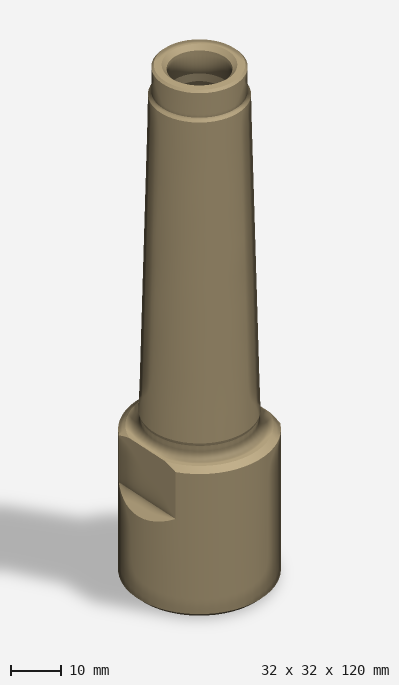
import cadquery as cq
import math

length = 120.0

collar_radius = 32.0 / 2
collar_top = 35.0
collar_bottom_chamfer = 1.1
collar_top_chamfer_width = 1.5
collar_top_chamfer_height = 1.0
flat_distance = 27.0 / 2
flat_bottom = 23.0

neck_radius = 23.5 / 2
neck_fillet = 1.5
neck_top = 37.9

taper_bottom = 38.6
taper_bottom_radius = 24.0 / 2
taper_top = 113.0
taper_top_radius = 20.3 / 2

end_radius = 19.0 / 2
end_bottom = 113.8
end_chamfer = 0.5

bore_radius = 10.1 / 2
counterbore_radius = 13.0 / 2
counterbore_depth = 6.4
drill_point_angle = 118.0
mouth_radius = 7.5
mouth_chamfer = mouth_radius - counterbore_radius


def turned_body():
    arc_offset = neck_fillet * (1 - math.sqrt(0.5))
    return (
        cq.Workplane("XZ")
        .moveTo(0, 0)
        .lineTo(collar_radius - collar_bottom_chamfer, 0)
        .lineTo(collar_radius, collar_bottom_chamfer)
        .lineTo(collar_radius, collar_top - collar_top_chamfer_height)
        .lineTo(collar_radius - collar_top_chamfer_width, collar_top)
        .lineTo(neck_radius + neck_fillet, collar_top)
        .threePointArc(
            (neck_radius + arc_offset, collar_top + arc_offset),
            (neck_radius, collar_top + neck_fillet),
        )
        .lineTo(neck_radius, neck_top)
        .lineTo(taper_bottom_radius, taper_bottom)
        .lineTo(taper_top_radius, taper_top)
        .lineTo(end_radius, end_bottom)
        .lineTo(end_radius, length - end_chamfer)
        .lineTo(end_radius - end_chamfer, length)
        .lineTo(0, length)
        .close()
        .revolve(360, (0, 0), (0, 1))
    )


def bore():
    counterbore_floor = length - counterbore_depth
    cone_height = (counterbore_radius - bore_radius) / math.tan(math.radians(drill_point_angle / 2))
    return (
        cq.Workplane("XZ")
        .moveTo(0, 0)
        .lineTo(bore_radius, 0)
        .lineTo(bore_radius, counterbore_floor - cone_height)
        .lineTo(counterbore_radius, counterbore_floor)
        .lineTo(counterbore_radius, length - mouth_chamfer)
        .lineTo(mouth_radius, length)
        .lineTo(0, length)
        .close()
        .revolve(360, (0, 0), (0, 1))
    )


def wrench_flat(side):
    """Cutter for one flat; side is -1 or +1 along Y."""
    runout = collar_radius - flat_distance
    return (
        cq.Workplane("YZ")
        .moveTo(side * flat_distance, collar_top)
        .lineTo(side * flat_distance, flat_bottom)
        .lineTo(side * collar_radius, flat_bottom - runout)
        .lineTo(side * collar_radius, collar_top)
        .close()
        .extrude(collar_radius, both=True)
    )


result = turned_body().cut(bore())
for side in (-1, 1):
    result = result.cut(wrench_flat(side))